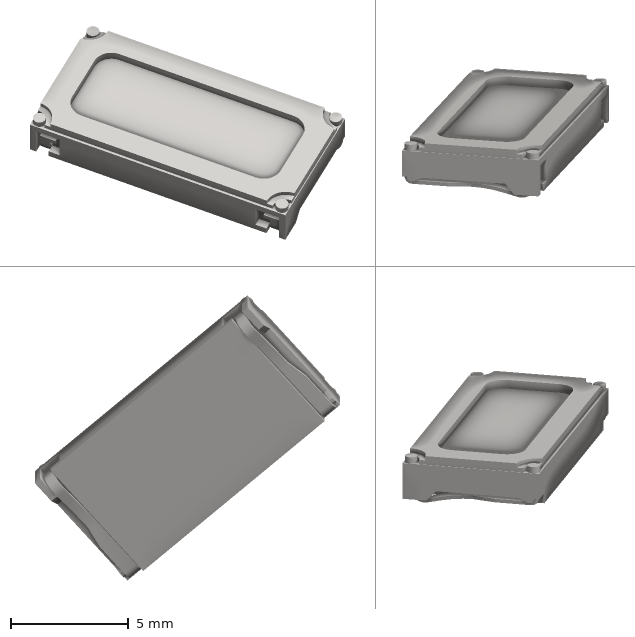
import cadquery as cq
import math


length = 12.0
width = 6.0
body_height = 1.6
half_length = length / 2
back_face = width / 2
front_face = -width / 2

cover_length = 11.93
cover_width = 5.78
cover_height = 0.38
recess_length = 9.79
recess_width = 3.82
recess_radius = 0.8
corner_step_radius = 0.88
corner_step_depth = 0.19
corner_cut_radius = 0.61

pin_diameter = 0.55
pin_height = 0.28
pin_inset_x = 0.3
pin_inset_y = 0.31

strip_thickness = 0.15
strip_left = 0.37
strip_right = 0.82
flange_left = 0.18
flange_straight_end = back_face - 1.99
flange_taper_end = back_face - 2.99
flat_underside = 0.11
flat_top = flat_underside + strip_thickness
tail_face = back_face - 0.06
tail_bend_radius = 0.18
tail_outer_radius = tail_bend_radius + strip_thickness
tail_bend_y = tail_face - tail_outer_radius
tail_bend_z = flat_underside + tail_outer_radius
tail_inner_face = tail_bend_y + tail_bend_radius
arm_radius = 5.88
contact_drop = 0.22
contact_radius = 0.67
contact_y = back_face - 5.14
contact_z = contact_radius - contact_drop
leg_front = contact_y - contact_radius
leg_back = leg_front + strip_thickness
tab_right = 1.12
tab_bottom = 0.68
tab_top = 0.88

channel_left = 0.3
channel_right = 0.89
channel_ceiling = 0.45
channel_mouth = 0.66
mouth_slope_y = back_face - 5.44
ridge_end_y = back_face - 0.5
ridge_root_y = back_face - 0.86
notch_slope_y = back_face - 4.54
notch_end_y = back_face - 4.93

pocket_right = 1.4
pocket_bottom = 0.3
pocket_top = 1.3
pocket_depth = 0.36
pocket_back = front_face + pocket_depth


def both_ends(shape):
    """Return the shape joined with its mirror image at the other end of the body."""
    return shape.union(shape.mirror("YZ"))


def profile(left):
    """Start a Y-Z sketch at a distance from the end face; it extrudes inward along X."""
    return cq.Workplane("YZ", origin=(left - half_length, 0, 0))


def box(left, right, y_min, y_max, z_min, z_max):
    """Return a box whose x limits are distances from the end face."""
    size = (right - left, y_max - y_min, z_max - z_min)
    return cq.Workplane("XY").box(*size, centered=False).translate((left - half_length, y_min, z_min))


def on_circle(center_y, center_z, radius, angle):
    """Return the Y-Z point at an angle from +Z, turning toward the front."""
    return (center_y - radius * math.sin(angle), center_z + radius * math.cos(angle))


def tail_bend_middle(radius):
    """Return the point halfway round the bend of the spring tail."""
    return on_circle(tail_bend_y, tail_bend_z, radius, math.radians(-135))


def with_ceiling(outline):
    """Add the channel ceiling, with the ridge that fills the bend of the spring tail."""
    return (
        outline.lineTo(back_face, channel_ceiling)
        .lineTo(tail_inner_face, channel_ceiling)
        .lineTo(tail_inner_face, tail_bend_z)
        .threePointArc(tail_bend_middle(tail_bend_radius), (tail_bend_y, flat_top))
        .lineTo(ridge_end_y, flat_top)
        .lineTo(ridge_root_y, channel_ceiling)
    )


def make_channel():
    """Return the cut for the spring, open at the underside and both long faces."""
    return (
        with_ceiling(profile(channel_left).moveTo(back_face, 0))
        .lineTo(mouth_slope_y, channel_ceiling)
        .lineTo(pocket_back, channel_mouth)
        .lineTo(front_face, channel_mouth)
        .lineTo(front_face, 0)
        .close()
        .extrude(channel_right - channel_left)
    )


def make_notch():
    """Return the cut that opens the channel through the end wall."""
    return (
        with_ceiling(profile(0).moveTo(back_face, 0))
        .lineTo(notch_slope_y, channel_ceiling)
        .lineTo(notch_end_y, 0)
        .close()
        .extrude(channel_left)
    )


def make_body():
    block = cq.Workplane("XY").box(length, width, body_height, centered=(True, True, False))
    pocket = box(channel_left, pocket_right, front_face, pocket_back, pocket_bottom, pocket_top)
    return block.cut(both_ends(make_channel().union(make_notch()).union(pocket)))


def four_cylinders(span_x, span_y, radius, bottom, height):
    """Return upright cylinders on the corners of a centred rectangle."""
    return (
        cq.Workplane("XY", origin=(0, 0, bottom))
        .rect(span_x, span_y, forConstruction=True)
        .vertices()
        .circle(radius)
        .extrude(height)
    )


def make_cover():
    base = cq.Workplane("XY", origin=(0, 0, body_height))
    plate = base.rect(cover_length, cover_width).extrude(cover_height)
    recess = base.rect(recess_length, recess_width).extrude(cover_height).edges("|Z").fillet(recess_radius)
    step_bottom = body_height + cover_height - corner_step_depth
    corner_cuts = four_cylinders(cover_length, cover_width, corner_cut_radius, body_height, cover_height)
    corner_steps = four_cylinders(
        cover_length, cover_width, corner_step_radius, step_bottom, corner_step_depth
    )
    return plate.cut(recess).cut(corner_cuts).cut(corner_steps)


def make_pins():
    span_x = length - 2 * pin_inset_x
    span_y = width - 2 * pin_inset_y
    return four_cylinders(span_x, span_y, pin_diameter / 2, body_height, pin_height)


def make_spring():
    """Return one bent strip: tail, flat, curved arm, contact bulge and upright leg with a tab."""
    arm_center = (flange_taper_end, flat_underside - arm_radius)
    run = arm_center[0] - contact_y
    rise = contact_z - arm_center[1]
    slope = math.atan2(run, rise) - math.acos((arm_radius + contact_radius) / math.hypot(run, rise))

    def arm(offset, angle):
        return on_circle(*arm_center, arm_radius + offset, angle)

    def contact(offset, angle):
        return on_circle(contact_y, contact_z, contact_radius - offset, angle)

    contact_start = math.pi + slope
    contact_end = math.pi / 2
    contact_middle = (contact_start + contact_end) / 2
    strip = (
        profile(flange_left)
        .moveTo(tail_face, channel_ceiling)
        .lineTo(tail_face, tail_bend_z)
        .threePointArc(tail_bend_middle(tail_outer_radius), (tail_bend_y, flat_underside))
        .lineTo(flange_taper_end, flat_underside)
        .threePointArc(arm(0, slope / 2), arm(0, slope))
        .lineTo(*contact(0, contact_start))
        .threePointArc(contact(0, contact_middle), contact(0, contact_end))
        .lineTo(leg_front, tab_top)
        .lineTo(leg_back, tab_top)
        .lineTo(leg_back, contact_z)
        .threePointArc(contact(strip_thickness, contact_middle), contact(strip_thickness, contact_start))
        .lineTo(*arm(strip_thickness, slope))
        .threePointArc(arm(strip_thickness, slope / 2), (flange_taper_end, flat_top))
        .lineTo(tail_bend_y, flat_top)
        .threePointArc(tail_bend_middle(tail_bend_radius), (tail_inner_face, tail_bend_z))
        .lineTo(tail_inner_face, channel_ceiling)
        .close()
        .extrude(strip_right - flange_left)
    )
    taper_cut = (
        cq.Workplane("XY", origin=(-half_length, 0, -contact_drop))
        .moveTo(flange_left, flange_straight_end)
        .lineTo(strip_left, flange_taper_end)
        .lineTo(strip_left, front_face)
        .lineTo(flange_left, front_face)
        .close()
        .extrude(contact_drop + tab_top)
    )
    tab = box(strip_left, tab_right, leg_front, leg_back, tab_bottom, tab_top)
    return strip.cut(taper_cut).union(tab)


result = make_body().union(make_cover()).union(make_pins()).union(both_ends(make_spring()))